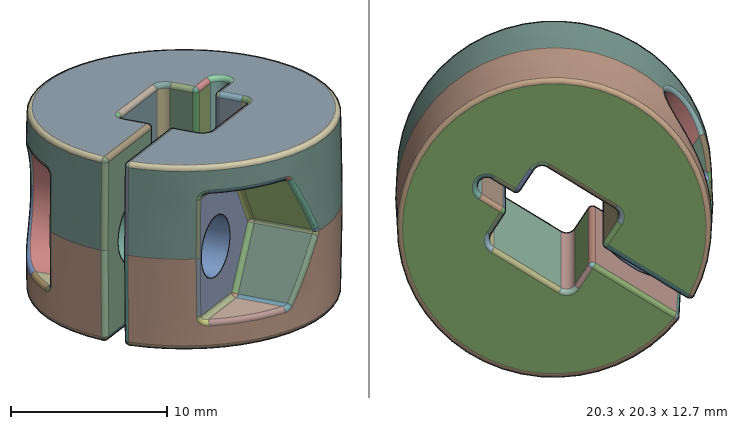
import cadquery as cq
import math

mid_radius = 10.15
height = 12.7
draft_angle = math.radians(1)
half_height = height / 2
end_radius = mid_radius - half_height * math.tan(draft_angle)
edge_fillet = 0.33

bore_side = 6.35
bore_corner_radius = 0.63
slot_width = 1.22
relief_end_y = 5.73

screw_y = -6.24
screw_hole_diameter = 4.17
head_floor_x = -5.36
head_pocket_radius = 4.06
nut_floor_x = 5.32
nut_half_width = 4.37
nut_corner_radius = 0.33

overshoot = 2.03
outside_reach = mid_radius + overshoot
pick_margin = 0.2
on_cone_tolerance = 0.02


def cone_radius(z):
    """Outside radius of the double cone at height z."""
    return mid_radius - abs(z) * math.tan(draft_angle)


def collar_body():
    profile = (
        cq.Workplane("XZ")
        .moveTo(0, -half_height)
        .lineTo(end_radius, -half_height)
        .lineTo(mid_radius, 0)
        .lineTo(end_radius, half_height)
        .lineTo(0, half_height)
        .close()
    )
    return profile.revolve(360, (0, 0, 0), (0, 1, 0))


def bore_cutter():
    """Square bore joined with the slot that runs from the -Y outside to the rounded relief end."""
    square = (
        cq.Workplane("XY")
        .rect(bore_side, bore_side)
        .extrude(half_height + overshoot, both=True)
        .edges("|Z")
        .fillet(bore_corner_radius)
    )
    half_slot = slot_width / 2
    slot = (
        cq.Workplane("XY")
        .moveTo(-half_slot, -outside_reach)
        .lineTo(half_slot, -outside_reach)
        .lineTo(half_slot, relief_end_y - half_slot)
        .threePointArc((0, relief_end_y), (-half_slot, relief_end_y - half_slot))
        .close()
        .extrude(half_height + overshoot, both=True)
    )
    return square.union(slot)


def round_end_and_slot_edges(body):
    """Fillet both end faces and the upright corners where the slot meets the bore and the outside."""
    half_bore = bore_side / 2
    bore_corners = cq.selectors.BoxSelector(
        (-slot_width, -half_bore - pick_margin, -pick_margin),
        (slot_width, half_bore + pick_margin, pick_margin),
    )
    slit_mouth = cq.selectors.BoxSelector(
        (-slot_width, -mid_radius - pick_margin, -half_height),
        (slot_width, -end_radius + pick_margin, half_height),
    )
    edges = body.edges("|Z").edges(bore_corners)
    edges = edges.add(body.edges(slit_mouth))
    edges = edges.add(body.faces("<Z or >Z").edges())
    return body.newObject(edges.vals()).fillet(edge_fillet)


def head_pocket_cutter():
    """Round-ended pocket for the screw head, open towards -X and -Y."""
    radius = head_pocket_radius
    return (
        cq.Workplane("YZ", origin=(head_floor_x, 0, 0))
        .moveTo(-outside_reach, -radius)
        .lineTo(screw_y, -radius)
        .threePointArc((screw_y + radius, 0), (screw_y, radius))
        .lineTo(-outside_reach, radius)
        .close()
        .extrude(-outside_reach)
        .faces(">X")
        .edges("not(<Y)")
        .fillet(edge_fillet)
    )


def nut_pocket_cutter():
    """Pocket for a hexagonal nut pointing towards +Y, open towards +X and -Y."""
    corner_y = screw_y + nut_half_width * math.tan(math.radians(30))
    point_y = screw_y + nut_half_width / math.cos(math.radians(30))
    block = (
        cq.Workplane("YZ", origin=(nut_floor_x, 0, 0))
        .moveTo(-outside_reach, -nut_half_width)
        .lineTo(corner_y, -nut_half_width)
        .lineTo(point_y, 0)
        .lineTo(corner_y, nut_half_width)
        .lineTo(-outside_reach, nut_half_width)
        .close()
        .extrude(outside_reach)
        .edges("|X")
        .edges("not(<Y)")
        .fillet(nut_corner_radius)
    )
    return block.faces("<X").edges("not(<Y)").fillet(edge_fillet)


def screw_hole_cutter():
    return (
        cq.Workplane("YZ")
        .center(screw_y, 0)
        .circle(screw_hole_diameter / 2)
        .extrude(outside_reach, both=True)
    )


def pocket_rim_edges(body, side):
    """Edges on the conical outside around the pocket on one side: -1 for -X, +1 for +X."""
    rim = []
    for edge in body.edges().vals():
        middle = edge.positionAt(0.5)
        box = edge.BoundingBox()
        off_cone = abs(math.hypot(middle.x, middle.y) - cone_radius(middle.z))
        on_side = side * middle.x > slot_width
        at_mid_height = box.zlen < on_cone_tolerance
        reaches_end = max(-box.zmin, box.zmax) > half_height - edge_fillet - pick_margin
        if off_cone < on_cone_tolerance and on_side and not at_mid_height and not reaches_end:
            rim.append(edge)
    return rim


collar = collar_body().cut(bore_cutter())
collar = round_end_and_slot_edges(collar)
for cutter in (head_pocket_cutter(), nut_pocket_cutter(), screw_hole_cutter()):
    collar = collar.cut(cutter)
for side in (-1, 1):
    collar = collar.newObject(pocket_rim_edges(collar, side)).fillet(edge_fillet)

result = collar